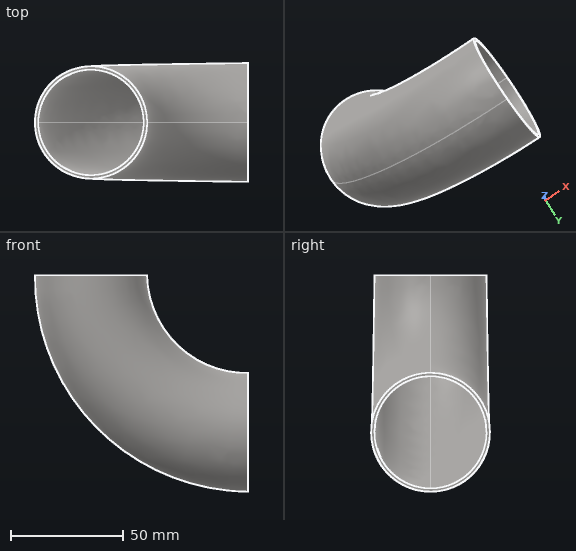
import cadquery as cq

bend_radius = 69.9
top_diameter = 50.0
side_diameter = 53.0
wall = 1.5

bend_angle = 90


def tapered_bend(top_radius, side_radius):
    """Solid bend from the top mouth down to the side mouth, widening along the way."""
    centreline = (
        cq.Workplane("XZ")
        .radiusArc((bend_radius, -bend_radius), -bend_radius)
    )
    return (
        cq.Workplane("XY")
        .circle(top_radius)
        .transformed(
            offset=(bend_radius, 0, -bend_radius),
            rotate=(0, bend_angle, 0),
        )
        .circle(side_radius)
        .sweep(centreline, multisection=True)
    )


outer = tapered_bend(top_diameter / 2, side_diameter / 2)
bore = tapered_bend(top_diameter / 2 - wall, side_diameter / 2 - wall)

result = outer.cut(bore)